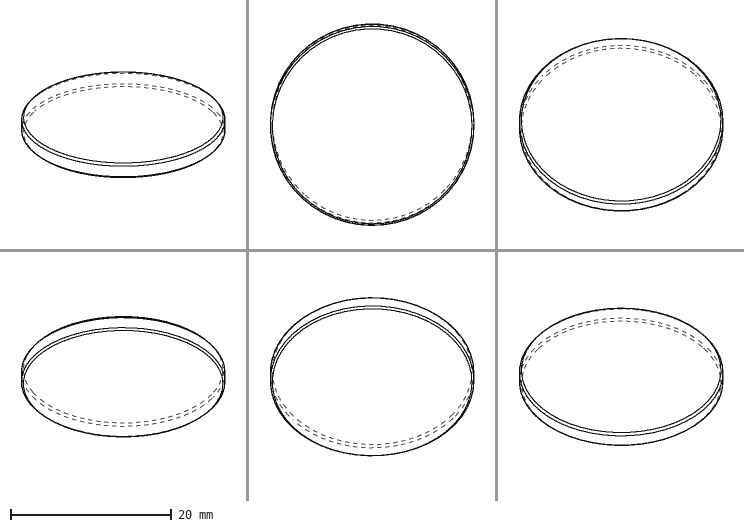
import cadquery as cq

diameter = 25.4
center_height = 3.4
dome_rise = 1.35
bevel = 0.25
top_bevel_height = 0.33

rim_radius = diameter / 2
face_radius = rim_radius - bevel
dome_edge_height = center_height - dome_rise
sphere_radius = (face_radius**2 + dome_rise**2) / (2 * dome_rise)

mid_radius = face_radius / 2
sphere_center_height = center_height - sphere_radius
mid_height = sphere_center_height + (sphere_radius**2 - mid_radius**2) ** 0.5

half_profile = (
    cq.Workplane("XZ")
    .lineTo(face_radius, 0)
    .lineTo(rim_radius, bevel)
    .lineTo(rim_radius, dome_edge_height - top_bevel_height)
    .lineTo(face_radius, dome_edge_height)
    .threePointArc((mid_radius, mid_height), (0, center_height))
    .close()
)

result = half_profile.revolve(360, (0, 0, 0), (0, 1, 0))